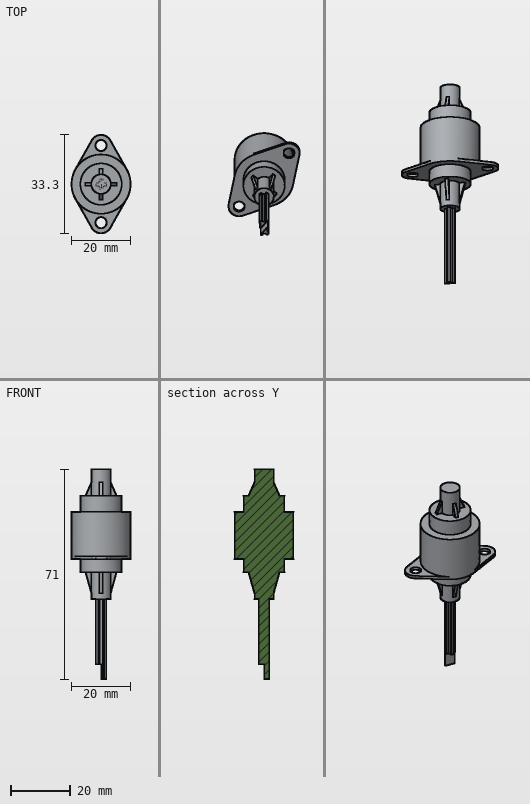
import cadquery as cq
import math

total_height = 71.0
neck_length = 9.0
upper_collar_height = 5.5
body_height = 16.0
lower_collar_height = 4.5
flange_thickness = 1.1

neck_top_start = total_height - neck_length
body_top = neck_top_start - upper_collar_height
body_bottom = body_top - body_height
lower_collar_bottom = body_bottom - lower_collar_height
shaft_top = lower_collar_bottom - neck_length

body_radius = 20.0 / 2
collar_radius = 14.0 / 2
neck_radius = 6.6 / 2

flange_length = 33.3
flange_end_radius = 3.6
flange_hole_radius = 1.85
hole_offset = flange_length / 2 - flange_end_radius

rib_count = 4
rib_width = 1.1
rib_base_radius = 5.25
upper_rib_height = 4.5
lower_rib_height = 6.95

shaft_radius = 3.6 / 2
core_radius = 1.15
tooth_width = 1.0
tip_flat_length = 5.05


def cylinder(radius, bottom, top):
    return cq.Workplane("XY").workplane(offset=bottom).circle(radius).extrude(top - bottom)


def polar(radius, angle):
    return (radius * math.cos(angle), radius * math.sin(angle))


def make_flange():
    """Plate of two end rounds joined to the body round by tangent lines."""
    tangent_angle = math.asin((body_radius - flange_end_radius) / hole_offset)
    body_x, body_y = polar(body_radius, tangent_angle)
    end_x, end_y = polar(flange_end_radius, tangent_angle)
    end_y += hole_offset
    half_length = flange_length / 2
    return (
        cq.Workplane("XY").workplane(offset=body_bottom)
        .moveTo(body_x, -body_y)
        .threePointArc((body_radius, 0), (body_x, body_y))
        .lineTo(end_x, end_y)
        .threePointArc((0, half_length), (-end_x, end_y))
        .lineTo(-body_x, body_y)
        .threePointArc((-body_radius, 0), (-body_x, -body_y))
        .lineTo(-end_x, -end_y)
        .threePointArc((0, -half_length), (end_x, -end_y))
        .close()
        .extrude(flange_thickness)
        .pushPoints([(0, hole_offset), (0, -hole_offset)])
        .circle(flange_hole_radius)
        .cutThruAll()
    )


def make_ribs(base_z, tip_z):
    """Tapered ribs around a neck, widest at base_z and flush with the neck at tip_z."""
    rib = (
        cq.Workplane("XZ")
        .polyline([(0, base_z), (rib_base_radius, base_z), (neck_radius, tip_z), (0, tip_z)])
        .close()
        .extrude(rib_width / 2, both=True)
    )
    ribs = rib
    for index in range(1, rib_count):
        ribs = ribs.union(rib.rotate((0, 0, 0), (0, 0, 1), index * 360 / rib_count))
    return ribs


def make_splined_shaft():
    """Cross-shaped shaft with a round core; its lower tip is cut back to the +X half."""
    teeth = (
        cq.Workplane("XY")
        .rect(2 * shaft_radius, tooth_width)
        .extrude(shaft_top)
        .union(cq.Workplane("XY").rect(tooth_width, 2 * shaft_radius).extrude(shaft_top))
        .intersect(cylinder(shaft_radius, 0, shaft_top))
    )
    shaft = teeth.union(cylinder(core_radius, 0, shaft_top))
    tip_cut = (
        cq.Workplane("XY")
        .center(-shaft_radius, 0)
        .rect(2 * shaft_radius, 2 * shaft_radius)
        .extrude(tip_flat_length)
    )
    return shaft.cut(tip_cut)


result = cylinder(neck_radius, shaft_top, total_height)
result = result.union(cylinder(collar_radius, lower_collar_bottom, neck_top_start))
result = result.union(cylinder(body_radius, body_bottom, body_top))

result = result.union(make_flange())
result = result.union(make_ribs(neck_top_start, neck_top_start + upper_rib_height))
result = result.union(make_ribs(lower_collar_bottom, lower_collar_bottom - lower_rib_height))
result = result.union(make_splined_shaft())